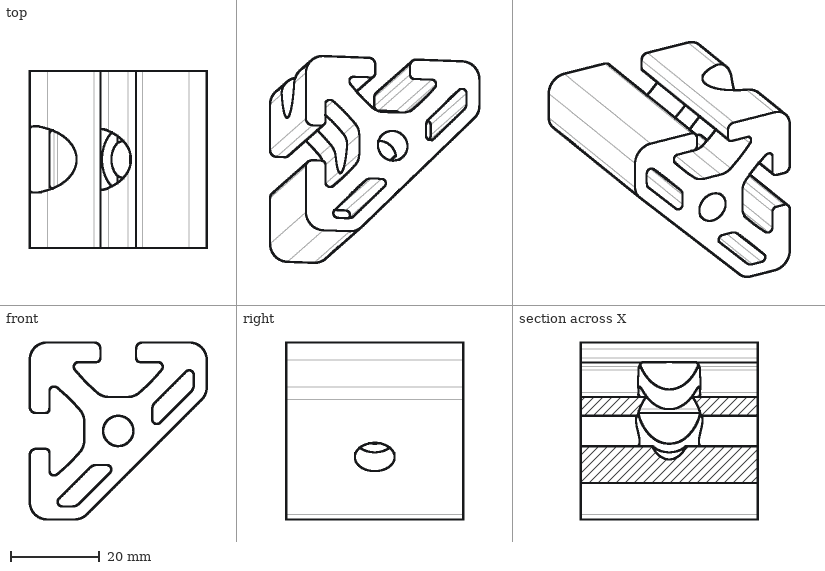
import cadquery as cq
import math

size = 40.0
half = size / 2
corner_radius = 4.0
bevel_offset = 11.77

slot_half_opening = 4.0
lip_thickness = 4.5
lip_outer_radius = 1.5
lip_inner_radius = 1.0
slot_half_width = 10.0
slot_shoulder_radius = 1.0
slot_wall_radius = 1.2
slot_flank_radius = 40.0
slot_floor = 7.7
slot_floor_half_width = 2.15
slot_floor_radius = 4.0
slot_flank_low_angle = 40
slot_flank_high_angle = 50

channel_inner_x = 7.7
outer_wall = 3.0
channel_outer_x = half - outer_wall
channel_upper_offset = 1.92
channel_lower_offset = bevel_offset - outer_wall * math.sqrt(2)
channel_sharp_radius = 1.0
channel_blunt_radius = 2.0

core_hole_diameter = 6.8
bolt_hole_diameter = 9.0
counterbore_diameter = 15.0
bolt_seat_thickness = 6.0


def mirrored(corners):
    """Reflect (x, z, radius) corners across the symmetry line z = -x, reversing their order."""
    return [(-z, -x, radius) for x, z, radius in reversed(corners)]


def rounded_prism(corners):
    """Extrude a closed outline of (x, z, radius) corners, each rounded by its radius, along Y."""
    arcs = []
    for index, (x, z, radius) in enumerate(corners):
        corner = cq.Vector(x, z)
        before = cq.Vector(*corners[index - 1][:2])
        after = cq.Vector(*corners[(index + 1) % len(corners)][:2])
        to_before = (before - corner).normalized()
        to_after = (after - corner).normalized()
        half_angle = to_before.getAngle(to_after) / 2
        tangent_length = radius / math.tan(half_angle)
        middle_distance = radius / math.sin(half_angle) - radius
        bisector = (to_before + to_after).normalized()
        start = corner + to_before * tangent_length
        middle = corner + bisector * middle_distance
        end = corner + to_after * tangent_length
        arcs.append([point.toTuple()[:2] for point in (start, middle, end)])

    outline = cq.Workplane("XZ").moveTo(*arcs[0][0])
    for index, (start, middle, end) in enumerate(arcs):
        if index > 0:
            outline = outline.lineTo(*start)
        outline = outline.threePointArc(middle, end)
    return outline.close().extrude(half, both=True)


def beveled_block():
    """Square block along Y with its corner at +X, -Z cut off by the bevel."""
    bevel_end = (half, half - bevel_offset, corner_radius)
    upper_half = [bevel_end, (half, half, corner_radius)]
    slot_corner = [(-half, half, corner_radius)]
    return rounded_prism(upper_half + slot_corner + mirrored(upper_half))


def point_around(center, radius, degrees):
    """Point on a circle, at an angle counted from +X toward +Z."""
    angle = math.radians(degrees)
    return (center[0] + radius * math.cos(angle), center[1] + radius * math.sin(angle))


def top_slot():
    """T-slot opening upward, built as a right half and its mirror image."""
    lip_underside = half - lip_thickness
    floor_center = (slot_floor_half_width, slot_floor + slot_floor_radius)
    floor_end_angle = slot_flank_low_angle - 90
    floor_middle_angle = (floor_end_angle - 90) / 2
    shoulder_center = (slot_half_width - slot_shoulder_radius, lip_underside - slot_shoulder_radius)
    wall_center = (slot_half_width - slot_wall_radius, shoulder_center[1])
    wall_start_angle = slot_flank_high_angle - 90
    lip_inner_center = (slot_half_opening + lip_inner_radius, lip_underside + lip_inner_radius)
    lip_outer_center = (slot_half_opening + lip_outer_radius, half - lip_outer_radius)

    right_half = (
        cq.Workplane("XZ")
        .moveTo(0, slot_floor)
        .lineTo(slot_floor_half_width, slot_floor)
        .threePointArc(
            point_around(floor_center, slot_floor_radius, floor_middle_angle),
            point_around(floor_center, slot_floor_radius, floor_end_angle),
        )
        .radiusArc(point_around(wall_center, slot_wall_radius, wall_start_angle), -slot_flank_radius)
        .threePointArc(
            point_around(wall_center, slot_wall_radius, wall_start_angle / 2),
            point_around(wall_center, slot_wall_radius, 0),
        )
        .threePointArc(
            point_around(shoulder_center, slot_shoulder_radius, 45),
            point_around(shoulder_center, slot_shoulder_radius, 90),
        )
        .lineTo(lip_inner_center[0], lip_underside)
        .threePointArc(
            point_around(lip_inner_center, lip_inner_radius, 225),
            point_around(lip_inner_center, lip_inner_radius, 180),
        )
        .lineTo(slot_half_opening, lip_outer_center[1])
        .threePointArc(
            point_around(lip_outer_center, lip_outer_radius, 135),
            point_around(lip_outer_center, lip_outer_radius, 90),
        )
        .lineTo(0, half)
        .close()
        .extrude(half, both=True)
    )
    return right_half.union(right_half.mirror("YZ")).clean()


def left_slot():
    """The same T-slot turned a quarter about the core axis, opening toward -X."""
    return top_slot().rotate((0, 0, 0), (0, 1, 0), -90)


def channels():
    """The two hollow channels running along Y behind the bevel."""
    right_channel = [
        (channel_inner_x, channel_inner_x - channel_lower_offset, channel_sharp_radius),
        (channel_outer_x, channel_outer_x - channel_lower_offset, channel_blunt_radius),
        (channel_outer_x, channel_outer_x - channel_upper_offset, channel_sharp_radius),
        (channel_inner_x, channel_inner_x - channel_upper_offset, channel_blunt_radius),
    ]
    return rounded_prism(right_channel).union(rounded_prism(mirrored(right_channel)))


def core_hole():
    """Round hole along the Y axis."""
    return cq.Workplane("XZ").circle(core_hole_diameter / 2).extrude(half, both=True)


def bolt_hole():
    """Counterbored hole from the slotted corner, square to the bevel and through it."""
    toward_corner = cq.Vector(-1, 0, 1).normalized()
    bevel_distance = bevel_offset / math.sqrt(2)
    counterbore_floor = toward_corner * (bolt_seat_thickness - bevel_distance)
    floor_plane = cq.Plane(
        origin=counterbore_floor.toTuple(), xDir=(0, 1, 0), normal=toward_corner.toTuple()
    )
    seat = cq.Workplane(floor_plane)
    counterbore = seat.circle(counterbore_diameter / 2).extrude(size)
    through_hole = seat.circle(bolt_hole_diameter / 2).extrude(-size)
    return counterbore.union(through_hole)


result = beveled_block()
for cutter in (top_slot(), left_slot(), channels(), core_hole(), bolt_hole()):
    result = result.cut(cutter)